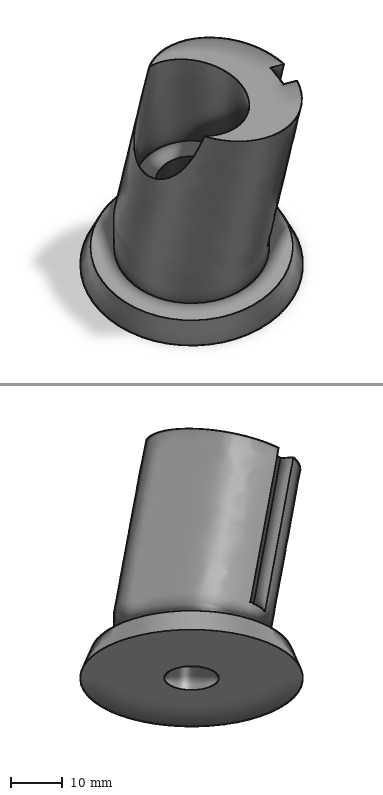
import cadquery as cq
import math

foot_diameter = 43.0
foot_top_diameter = 39.0
foot_height = 5.0

body_diameter = 30.0
lean_angle = 12
joint_height = 11.1
sleeve_length = 35.1

bore_diameter = 22.2
bore_floor = 23.0
recess_diameter = 14.0
recess_floor = 5.0
through_diameter = 10.5

key_width = 5.0
key_radial_depth = 3.3
key_floor = joint_height

lean = math.radians(lean_angle)
body_radius = body_diameter / 2
tall = 71.5

mitre = cq.Plane(
    origin=(0, 0, joint_height),
    xDir=(1, 0, 0),
    normal=(0, math.sin(lean), math.cos(lean)),
)


def make_foot():
    """Truncated cone that widens towards the ground."""
    return (
        cq.Workplane("XY")
        .circle(foot_diameter / 2)
        .workplane(offset=foot_height)
        .circle(foot_top_diameter / 2)
        .loft(ruled=True)
    )


def make_neck():
    """Upright cylinder trimmed by the leaning mitre plane."""
    above_mitre = cq.Workplane(mitre).rect(tall, tall).extrude(tall)
    return cq.Workplane("XY").circle(body_radius).extrude(tall / 2).cut(above_mitre)


def make_sleeve():
    """Solid leaning cylinder with the elliptical section left by the mitre cut."""
    return (
        cq.Workplane(mitre)
        .ellipse(body_radius, body_radius / math.cos(lean))
        .extrude(sleeve_length)
    )


def vertical_hole(diameter, floor):
    """Cutting tool for a vertical hole open at the top."""
    return cq.Workplane("XY").workplane(offset=floor).circle(diameter / 2).extrude(tall)


def make_keyway():
    """Cutting tool for a slot parallel to the sleeve axis, open at the top, with a level floor."""
    rear = body_radius / math.cos(lean)
    below_floor = cq.Workplane("XY").rect(2 * tall, 2 * tall).extrude(key_floor)
    return (
        cq.Workplane(mitre)
        .center(0, rear)
        .rect(key_width, 2 * key_radial_depth)
        .extrude(tall)
        .cut(below_floor)
    )


result = (
    make_foot()
    .union(make_neck())
    .union(make_sleeve())
    .cut(vertical_hole(bore_diameter, bore_floor))
    .cut(vertical_hole(recess_diameter, recess_floor))
    .cut(vertical_hole(through_diameter, 0))
    .cut(make_keyway())
)